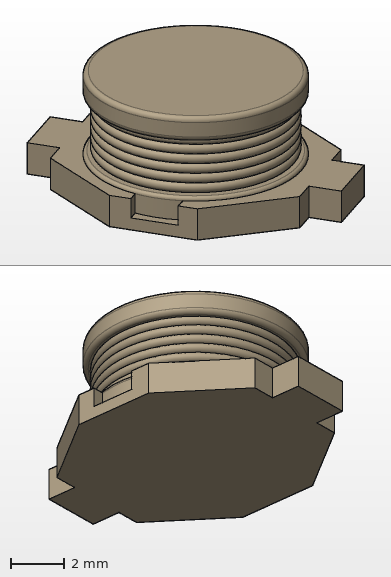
import cadquery as cq

base_length = 10.0
base_width = 9.25
base_height = 1.3
end_facet_width = 4.5
side_facet_length = 3.53
overall_length = 12.6
tab_width = 2.5

seat_depth = 0.8
notch_width = 1.9
notch_offset = 0.05

overall_height = 4.75
flange_radius = 4.25
upper_flange_height = 1.0
upper_flange_fillet = 0.2
lower_flange_top = 1.45
lower_flange_fillet = 0.15

turn_count = 6
wire_radius = 0.2
winding_outer_radius = 3.975

seat_floor = base_height - seat_depth
upper_flange_bottom = overall_height - upper_flange_height
turn_radius = winding_outer_radius - wire_radius
turn_pitch = 2 * wire_radius
first_turn_height = lower_flange_top + wire_radius
turn_heights = [first_turn_height + i * turn_pitch for i in range(turn_count)]


def make_base():
    """Octagonal plate with end tabs, a round seat and a notch through both sides."""
    half_length = base_length / 2
    half_width = base_width / 2
    half_end = end_facet_width / 2
    half_side = side_facet_length / 2
    quarter = [(half_length, half_end), (half_side, half_width)]
    outline = quarter + [(-x, y) for x, y in reversed(quarter)]
    outline += [(-x, -y) for x, y in outline]
    plate = cq.Workplane("XY").polyline(outline).close().extrude(base_height)
    tabs = cq.Workplane("XY").rect(overall_length, tab_width).extrude(base_height)
    seat = cq.Workplane("XY", origin=(0, 0, seat_floor)).circle(flange_radius).extrude(seat_depth)
    notches = (
        cq.Workplane("XY", origin=(notch_offset, 0, seat_floor))
        .rect(notch_width, base_width)
        .extrude(seat_depth)
    )
    return plate.union(tabs).cut(seat).cut(notches)


def make_turn(height):
    """One closed ring of round wire around the Z axis."""
    return (
        cq.Workplane("XZ")
        .center(turn_radius, height)
        .circle(wire_radius)
        .revolve(360, (-turn_radius, 0), (-turn_radius, 1))
    )


def make_flange(bottom, top):
    return cq.Workplane("XY", origin=(0, 0, bottom)).circle(flange_radius).extrude(top - bottom)


def make_core(turns):
    """Flanged bobbin whose neck and upper flange are grooved to fit the wire turns."""
    lower_flange = make_flange(seat_floor, lower_flange_top).faces(">Z").edges().fillet(lower_flange_fillet)
    upper_flange = make_flange(upper_flange_bottom, overall_height).edges("%CIRCLE").fillet(upper_flange_fillet)
    neck = (
        cq.Workplane("XY", origin=(0, 0, lower_flange_top))
        .circle(turn_radius)
        .extrude(upper_flange_bottom - lower_flange_top)
    )
    core = lower_flange.union(neck).union(upper_flange)
    for turn in turns:
        core = core.cut(turn)
    return core


base = make_base()
turns = [make_turn(height) for height in turn_heights]
core = make_core(turns)

result = cq.Compound.makeCompound(
    [base.solids().val(), core.solids().val(), *[turn.val() for turn in turns]]
)